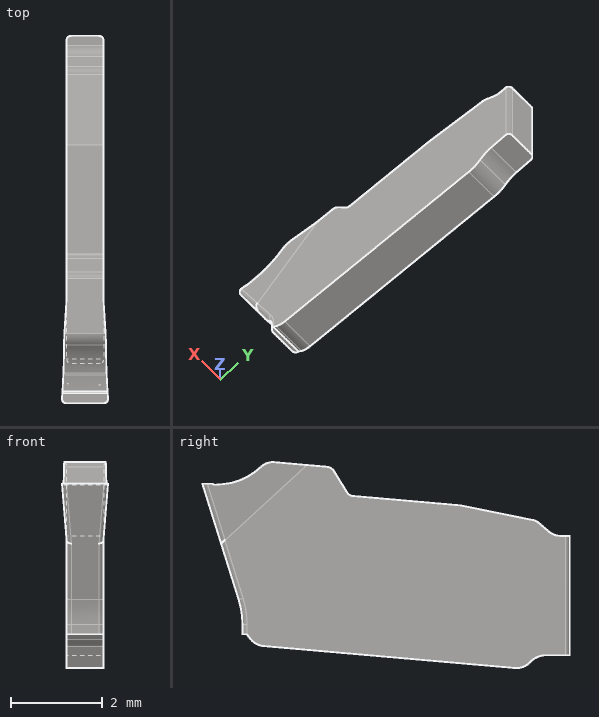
import cadquery as cq
import math

length = 8.0
height = 4.49
plate_width = 0.81
tip_width = 1.01
edge_radius = 0.1
slope = math.tan(math.radians(5))

back_y = length / 2
tip_y = -length / 2
tip_z = 4.02

back_bottom_z = 0.28
back_top_z = 2.88
bottom_land_y = 3.46
top_land_y = 3.79

bottom_back_y = 2.8
bottom_front_y = -2.69
bottom_front_z = (bottom_back_y - bottom_front_y) * slope
top_back = (3.16, 3.23)
top_bend = (1.62, 3.54)
step_foot_y = -0.74
step_foot_z = top_bend[1] + (top_bend[0] - step_foot_y) * slope

head_front_y = -2.47
head_back_y = -1.28
head_back_z = height - (head_back_y - head_front_y) * slope

nose_y = -3.13
nose_bottom_z = 0.74
nose_top_z = 0.96
notch_y = -3.03
rake_angle = math.radians(17.4)
rake_corner_z = tip_z - (nose_y - tip_y) / math.tan(rake_angle)
rake_tangent = rake_corner_z - nose_top_z
rake_foot = (
    nose_y - rake_tangent * math.sin(rake_angle),
    rake_corner_z + rake_tangent * math.cos(rake_angle),
)

bottom_shoulder_mid = (3.14, 0.13)
top_shoulder_low = (3.55, 2.97)
top_shoulder_high = (3.34, 3.15)
chin_corner = (-2.94, 0.62)
tip_land_end = (-3.78, tip_z)
lip_foot = (-3.74, 3.99)
hollow_low = (-3.38, 4.03)
hollow_mid = (-3.34, 4.04)
hollow_high = (-2.72, 4.38)
step_high = (-1.14, 4.3)
step_low = (-0.84, 3.82)

fold_top = (-1.73, 4.42)
fold_bottom = (-3.51, 2.78)


def make_profile_body():
    """Side outline extruded to more than the final width."""
    blank_width = 2 * tip_width
    return (
        cq.Workplane("YZ")
        .moveTo(back_y, back_bottom_z)
        .lineTo(bottom_land_y, back_bottom_z)
        .threePointArc((3.28, 0.23), bottom_shoulder_mid)
        .threePointArc((2.98, 0.02), (bottom_back_y, 0))
        .lineTo(bottom_front_y, bottom_front_z)
        .threePointArc((-2.84, 0.54), chin_corner)
        .lineTo(notch_y, nose_bottom_z)
        .lineTo(nose_y, nose_bottom_z)
        .lineTo(nose_y, nose_top_z)
        .tangentArcPoint(rake_foot, relative=False)
        .lineTo(tip_y, tip_z)
        .lineTo(*tip_land_end)
        .lineTo(*lip_foot)
        .threePointArc((-3.54, 4.01), hollow_low)
        .lineTo(*hollow_mid)
        .threePointArc((-3.0, 4.18), hollow_high)
        .threePointArc((-2.61, 4.46), (head_front_y, height))
        .lineTo(head_back_y, head_back_z)
        .threePointArc((-1.21, 4.36), step_high)
        .lineTo(*step_low)
        .threePointArc((-0.8, 3.78), (step_foot_y, step_foot_z))
        .lineTo(*top_bend)
        .lineTo(*top_back)
        .threePointArc((3.26, 3.21), top_shoulder_high)
        .lineTo(*top_shoulder_low)
        .threePointArc((3.66, 2.9), (top_land_y, back_top_z))
        .lineTo(back_y, back_top_z)
        .close()
        .extrude(blank_width / 2, both=True)
    )


def make_envelopes():
    """Plate behind the fold line and the evenly flaring wedge ahead of it."""
    fold_y = fold_bottom[0] - fold_top[0]
    fold_z = fold_bottom[1] - fold_top[1]
    fold_length = math.hypot(fold_y, fold_z)
    along = cq.Vector(0, fold_y / fold_length, fold_z / fold_length)
    forward = cq.Vector(0, along.z, -along.y)
    origin = cq.Vector(0, *fold_top)
    tip_distance = (cq.Vector(0, tip_y + edge_radius, tip_z) - origin).dot(forward)
    plane = cq.Plane(origin=origin, xDir=forward, normal=along)
    flare = (tip_width - plate_width) / 2 / tip_distance
    reach = 2 * length
    half = plate_width / 2
    half_end = half + flare * length

    def prism(points):
        return cq.Workplane(plane).polyline(points).close().extrude(reach, both=True)

    plate = prism([(-reach, -half), (0, -half), (0, half), (-reach, half)])
    wedge = prism([(0, -half), (length, -half_end), (length, half_end), (0, half)])
    return plate, wedge


def round_front(section):
    """Round the flank edges along the front face of one section."""
    margin = 0.01
    front_box = cq.selectors.BoxSelector(
        (-tip_width, tip_y, nose_bottom_z), (tip_width, nose_y + margin, tip_z - edge_radius))
    return section.edges(front_box).edges("not |X").fillet(edge_radius)


profile_body = make_profile_body()
plate_envelope, wedge_envelope = make_envelopes()

plate_section = round_front(profile_body.intersect(plate_envelope))
plate_section = plate_section.faces(">Y").edges("|Z").fillet(edge_radius)
wedge_section = round_front(profile_body.intersect(wedge_envelope))
result = plate_section.union(wedge_section)